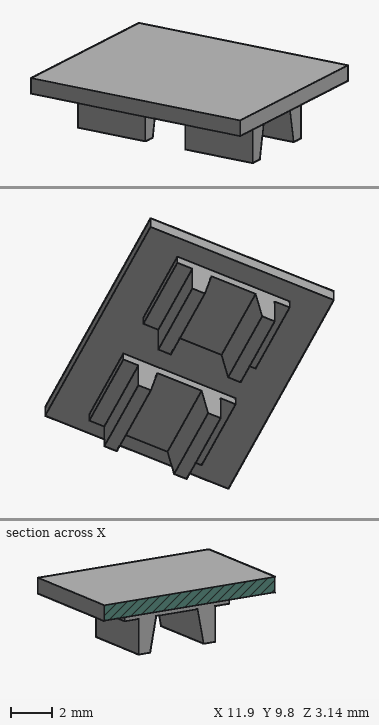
import cadquery as cq

plate_length = 11.95
plate_width = 9.8
plate_thickness = 0.8
total_height = 3.14

pad_length = 3.86
pad_width = 6.0
pad_thickness = 0.55
pad_spacing = 6.12

leg_outer_span = 4.4
leg_root_gap = 2.36
leg_tip_gap = 3.06

pad_top = total_height - plate_thickness
pad_bottom = pad_top - pad_thickness


def make_plate():
    return (
        cq.Workplane("XY")
        .workplane(offset=pad_top)
        .rect(plate_length, plate_width)
        .extrude(plate_thickness)
    )


def make_clip(center_x):
    """Pad with its two legs, drawn as one YZ profile and extruded along X."""
    return (
        cq.Workplane("YZ")
        .workplane(offset=center_x - pad_length / 2)
        .moveTo(-pad_width / 2, pad_top)
        .lineTo(-pad_width / 2, pad_bottom)
        .lineTo(-leg_outer_span / 2, pad_bottom)
        .lineTo(-leg_outer_span / 2, 0)
        .lineTo(-leg_tip_gap / 2, 0)
        .lineTo(-leg_root_gap / 2, pad_bottom)
        .lineTo(leg_root_gap / 2, pad_bottom)
        .lineTo(leg_tip_gap / 2, 0)
        .lineTo(leg_outer_span / 2, 0)
        .lineTo(leg_outer_span / 2, pad_bottom)
        .lineTo(pad_width / 2, pad_bottom)
        .lineTo(pad_width / 2, pad_top)
        .close()
        .extrude(pad_length)
    )


result = make_plate()
for side in (-1, 1):
    result = result.union(make_clip(side * pad_spacing / 2))